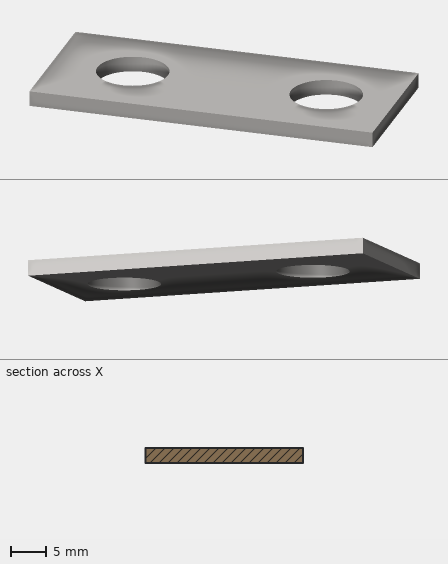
import cadquery as cq

length = 50.8
width = 22.35
thickness = 2.25

hole_diameter = 10.4
hole_spacing = 28.65
left_hole_to_end = 11.9

left_hole_x = -length / 2 + left_hole_to_end
right_hole_x = left_hole_x + hole_spacing

plate = cq.Workplane("XY").box(length, width, thickness)

result = (
    plate.faces(">Z")
    .workplane()
    .pushPoints([(left_hole_x, 0), (right_hole_x, 0)])
    .hole(hole_diameter)
)